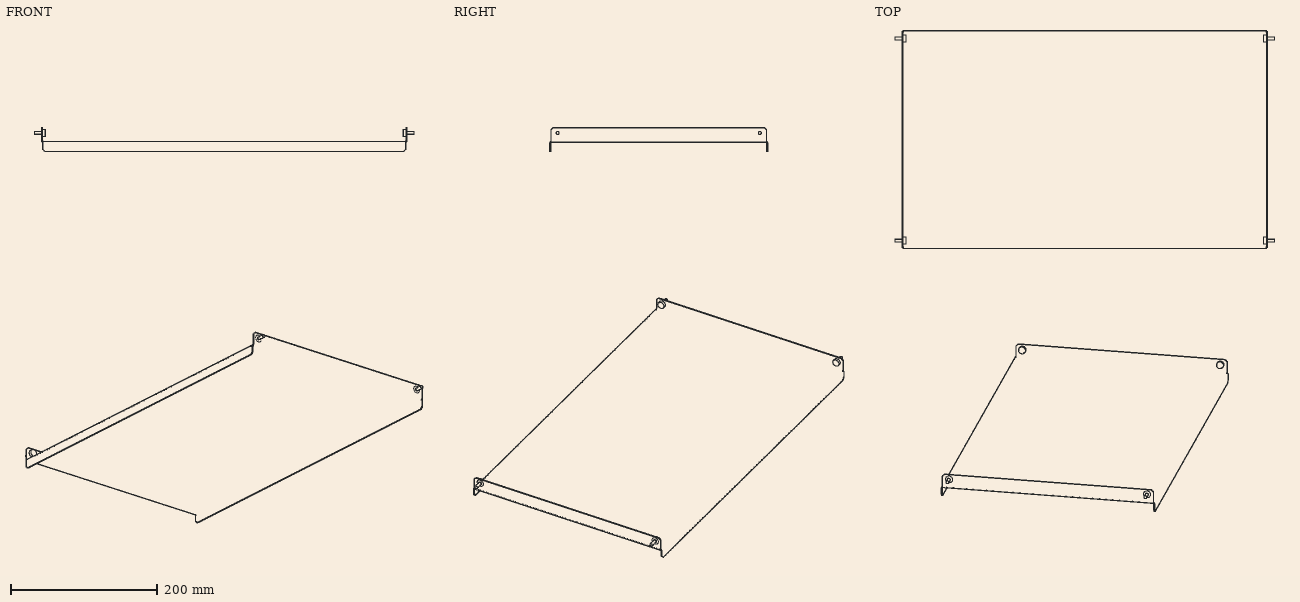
import cadquery as cq

overall_length = 519.0
tray_width = 298.0
tray_height = 32.5

sheet = 1.5
bend_inside = 0.8
bend_outside = bend_inside + sheet
fold_setback = 1.5
corner_chamfer = 3.0
lip_depth = 14.0

pin_reach = 10.0
shaft_diameter = 4.0
head_diameter = 10.0
head_length = 3.5
pin_edge_drop = 7.5
pin_inset = 11.0

flange_height = tray_height - lip_depth
flange_face_x = overall_length / 2 - pin_reach
floor_length = 2 * (flange_face_x - bend_outside)
floor_width = tray_width - 2 * bend_outside
flange_length = tray_width - 2 * fold_setback
lip_length = 2 * (flange_face_x - fold_setback)
pin_y = tray_width / 2 - pin_inset
pin_z = flange_height - pin_edge_drop


def fold(plane, leg_height, length):
    """Quarter bend and straight leg: bends from local +X to +Y, outer surface from the origin."""
    return (
        cq.Workplane(plane)
        .radiusArc((bend_outside, bend_outside), -bend_outside)
        .lineTo(bend_outside, leg_height)
        .lineTo(bend_inside, leg_height)
        .lineTo(bend_inside, bend_outside)
        .radiusArc((0, sheet), bend_inside)
        .close()
        .extrude(length / 2, both=True)
    )


def make_flange(side):
    """Upward fold at the end of the floor on the given side in X."""
    plane = cq.Plane(origin=(side * floor_length / 2, 0, -sheet), xDir=(side, 0, 0), normal=(0, -side, 0))
    flange = fold(plane, flange_height + sheet, flange_length)
    return flange.faces(">Z").edges("|X").chamfer(corner_chamfer)


def make_lip(side):
    """Downward fold at the edge of the floor on the given side in Y."""
    plane = cq.Plane(origin=(0, side * floor_width / 2, 0), xDir=(0, side, 0), normal=(-side, 0, 0))
    lip = fold(plane, lip_depth, lip_length)
    return lip.faces("<Z").edges("|Y").chamfer(corner_chamfer)


def pin_plane(x, y, side):
    """Plane across a pin axis, its normal pointing along X to the given side."""
    return cq.Plane(origin=(x, y, pin_z), xDir=(0, 1, 0), normal=(side, 0, 0))


def make_pin(side, y):
    """Headed pin: head against the inner face of the flange, shaft through it and outward."""
    seat = cq.Workplane(pin_plane(side * (flange_face_x - sheet), y, side))
    head = seat.circle(head_diameter / 2).extrude(-head_length)
    shaft = seat.circle(shaft_diameter / 2).extrude(sheet + pin_reach)
    return head.union(shaft)


def make_tray():
    """Sheet with a flange up each short side, a lip down each long side and a hole for every pin shaft."""
    tray = cq.Workplane("XY").box(floor_length, floor_width, sheet, centered=(True, True, False))
    tray = tray.translate((0, 0, -sheet))
    for side in (-1, 1):
        tray = tray.union(make_flange(side)).union(make_lip(side))
    for y in (-pin_y, pin_y):
        holes = cq.Workplane(pin_plane(0, y, 1)).circle(shaft_diameter / 2).extrude(flange_face_x, both=True)
        tray = tray.cut(holes)
    return tray


tray = make_tray()
pins = [make_pin(side, y).val() for side in (-1, 1) for y in (-pin_y, pin_y)]

result = cq.Compound.makeCompound([tray.val(), *pins])